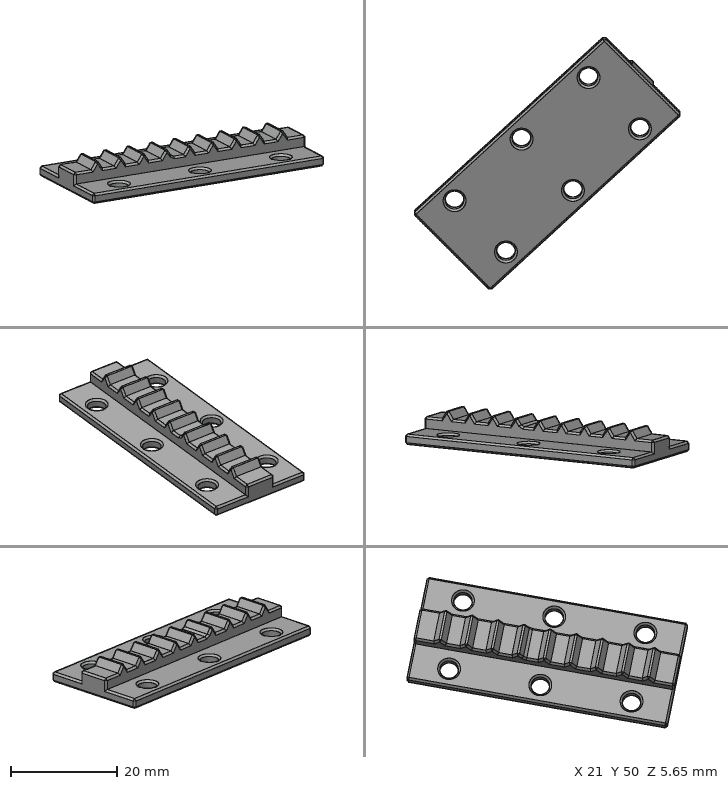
import cadquery as cq

plate_width = 21.0
plate_length = 50.0
plate_thickness = 2.0

rib_width = 6.5
rib_top = 4.2
tooth_top = 5.65
tooth_count = 9
tooth_pitch = 5.0
tooth_base_width = 2.45
tooth_crest_width = 0.45

eased_tooth_center = -tooth_pitch

hole_diameter = 3.5
hole_spacing_x = 14.0
hole_spacing_y = 17.5
hole_columns = 2
holes_per_column = 3

chamfer = 0.4


def make_plate():
    """Flat plate resting on Z = 0."""
    return cq.Workplane("XY").box(
        plate_width, plate_length, plate_thickness, centered=(True, True, False)
    )


def make_rib():
    """Rib with a row of trapezoidal teeth, extruded across X from its YZ outline."""
    half_length = plate_length / 2
    first_tooth = -(tooth_count - 1) * tooth_pitch / 2
    outline = [(-half_length, 0), (-half_length, rib_top)]
    for index in range(tooth_count):
        center = first_tooth + index * tooth_pitch
        outline += [
            (center - tooth_base_width / 2, rib_top),
            (center - tooth_crest_width / 2, tooth_top),
            (center + tooth_crest_width / 2, tooth_top),
            (center + tooth_base_width / 2, rib_top),
        ]
    outline += [(half_length, rib_top), (half_length, 0)]
    return cq.Workplane("YZ").polyline(outline).close().extrude(rib_width / 2, both=True)


def chamfer_edges(body):
    """Chamfer the outer edges, plus the inner corner at the +Y foot of one tooth."""
    outer_borders = body.faces("<Y or >Y or <X or >X or <Z").edges()

    rib_side_zone = cq.selectors.BoxSelector(
        (-rib_width, -plate_length, plate_thickness),
        (rib_width, plate_length, tooth_top),
    )
    rib_borders = body.faces("|X").faces(rib_side_zone).edges("not <Z")

    tooth_foot = body.edges(cq.selectors.NearestToPointSelector(
        (0, eased_tooth_center + tooth_base_width / 2, rib_top)
    ))
    return outer_borders.add(rib_borders).add(tooth_foot).chamfer(chamfer)


def make_hole_cutter():
    """Through-hole shape at the origin, widening by the chamfer at both plate faces."""
    radius = hole_diameter / 2
    rim_radius = radius + chamfer
    return (
        cq.Workplane("XZ")
        .polyline([
            (0, 0),
            (rim_radius, 0),
            (radius, chamfer),
            (radius, plate_thickness - chamfer),
            (rim_radius, plate_thickness),
            (0, plate_thickness),
        ])
        .close()
        .revolve(360, (0, 0), (0, 1))
        .val()
    )


def cut_mounting_holes(body):
    """Cut the grid of holes, each chamfered at both rims."""
    cutter = make_hole_cutter()
    cutters = (
        cq.Workplane("XY")
        .rarray(hole_spacing_x, hole_spacing_y, hole_columns, holes_per_column)
        .eachpoint(lambda location: cutter.moved(location))
    )
    return body.cut(cutters)


plain_body = make_plate().union(make_rib())
result = cut_mounting_holes(chamfer_edges(plain_body))